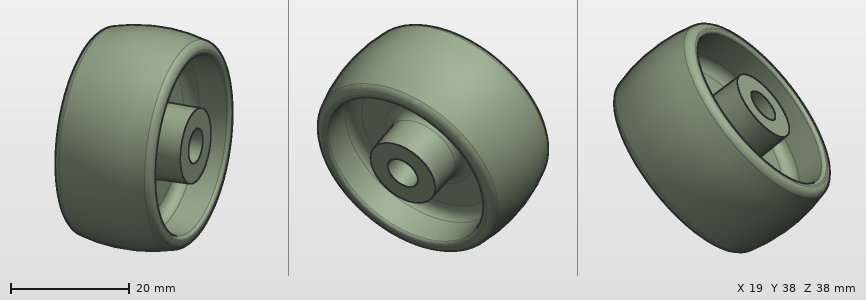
import cadquery as cq
import math

wheel_radius = 19.0
hub_length = 19.0
hub_tip_radius = 6.45
bore_radius = 3.0
rim_width = 18.1
rim_mouth_radius = 15.5
web_thickness = 2.9
draft_angle = 1.0

crown_radius = 30.4
shoulder_fillet = 1.6
mouth_fillet = 0.6
web_fillet = 2.0

half_hub = hub_length / 2
half_rim = rim_width / 2
half_web = web_thickness / 2
draft_slope = math.tan(math.radians(draft_angle))

hub_root_radius = hub_tip_radius + (half_hub - half_web) * draft_slope
rim_root_radius = rim_mouth_radius - (half_rim - half_web) * draft_slope
crown_center = wheel_radius - crown_radius
shoulder_radius = crown_center + math.sqrt(crown_radius**2 - half_rim**2)


def wheel_blank():
    """Sharp-edged wheel with bore, hub, web and crowned rim."""
    profile = (
        cq.Workplane("XY")
        .moveTo(-half_hub, bore_radius)
        .lineTo(-half_hub, hub_tip_radius)
        .lineTo(-half_web, hub_root_radius)
        .lineTo(-half_web, rim_root_radius)
        .lineTo(-half_rim, rim_mouth_radius)
        .lineTo(-half_rim, shoulder_radius)
        .threePointArc((0, wheel_radius), (half_rim, shoulder_radius))
        .lineTo(half_rim, rim_mouth_radius)
        .lineTo(half_web, rim_root_radius)
        .lineTo(half_web, hub_root_radius)
        .lineTo(half_hub, hub_tip_radius)
        .lineTo(half_hub, bore_radius)
        .close()
    )
    return profile.revolve(360, (0, 0, 0), (1, 0, 0))


def round_edges(body, offset, radius, fillet):
    """Fillet the circular edges of one radius at +/- offset along the axle."""
    tolerance = 0.0005

    def is_target(edge):
        return (
            edge.geomType() == "CIRCLE"
            and abs(edge.radius() - radius) < tolerance
            and abs(abs(edge.arcCenter().x) - offset) < tolerance
        )

    return body.edges().filter(is_target).fillet(fillet)


result = wheel_blank()
result = round_edges(result, half_rim, shoulder_radius, shoulder_fillet)
result = round_edges(result, half_rim, rim_mouth_radius, mouth_fillet)
result = round_edges(result, half_web, rim_root_radius, web_fillet)
result = round_edges(result, half_web, hub_root_radius, web_fillet)